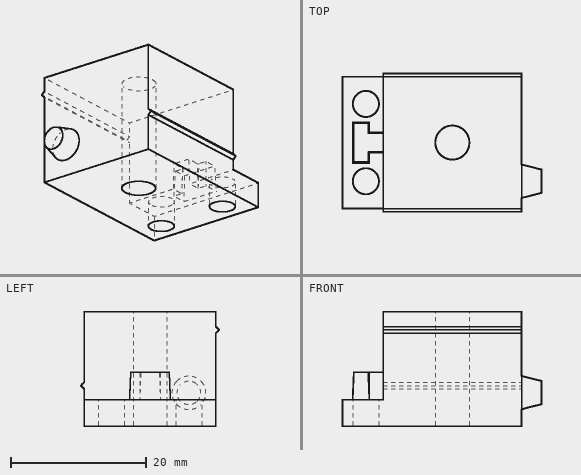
import cadquery as cq
import math

total_length = 29.5
body_end = 26.52
width = 19.53
height = 17.0
plate_height = 3.98
ledge_length = 6.05

ledge_hole_diameter = 3.84
ledge_hole_x = 3.48
ledge_hole_offset = 5.72
body_hole_diameter = 5.02
body_hole_x = (ledge_length + body_end) / 2

key_start = 1.5
key_head_length = 2.48
key_head_width = 6.05
key_stem_width = 3.07
key_overlap = 0.6
key_height = 4.07
key_inset = 0.18

width_over_ridges = 20.5
ridge_depth = (width_over_ridges - width) / 2
front_ridge_height = 14.3
back_ridge_height = 6.05

plug_base_diameter = 5.0
plug_tip_diameter = 3.48
plug_y = -ledge_hole_offset
plug_z = 5.02


def make_block():
    plate = cq.Workplane("XY").box(body_end, width, plate_height, centered=(False, True, False))
    body = (
        cq.Workplane("XY")
        .box(body_end - ledge_length, width, height, centered=(False, True, False))
        .translate((ledge_length, 0, 0))
    )
    return plate.union(body)


def make_key():
    head_end = key_start + key_head_length
    half_head = key_head_width / 2
    half_stem = key_stem_width / 2
    stem_end = ledge_length + key_overlap
    outline = [
        (key_start, -half_head),
        (head_end, -half_head),
        (head_end, -half_stem),
        (stem_end, -half_stem),
        (stem_end, half_stem),
        (head_end, half_stem),
        (head_end, half_head),
        (key_start, half_head),
    ]
    draft_angle = math.degrees(math.atan2(key_inset, key_height))
    return (
        cq.Workplane("XY", origin=(0, 0, plate_height))
        .polyline(outline)
        .close()
        .extrude(key_height, taper=draft_angle)
    )


def make_ridge(side, ridge_height):
    """Ridge on the +Y (side = 1) or -Y (side = -1) face of the body."""
    face_y = side * width / 2
    return (
        cq.Workplane("YZ", origin=(ledge_length, 0, 0))
        .moveTo(face_y, ridge_height - ridge_depth)
        .lineTo(face_y + side * ridge_depth, ridge_height)
        .lineTo(face_y, ridge_height + ridge_depth)
        .close()
        .extrude(body_end - ledge_length)
    )


def make_plug():
    return (
        cq.Workplane("YZ", origin=(body_end, plug_y, plug_z))
        .circle(plug_base_diameter / 2)
        .workplane(offset=total_length - body_end)
        .circle(plug_tip_diameter / 2)
        .loft(ruled=True)
    )


def make_hole(x, y, diameter):
    return cq.Workplane("XY").center(x, y).circle(diameter / 2).extrude(height)


result = make_block().union(make_key()).union(make_plug())
result = result.union(make_ridge(-1, front_ridge_height)).union(make_ridge(1, back_ridge_height))
result = result.cut(make_hole(body_hole_x, 0, body_hole_diameter))
for side in (-1, 1):
    result = result.cut(make_hole(ledge_hole_x, side * ledge_hole_offset, ledge_hole_diameter))